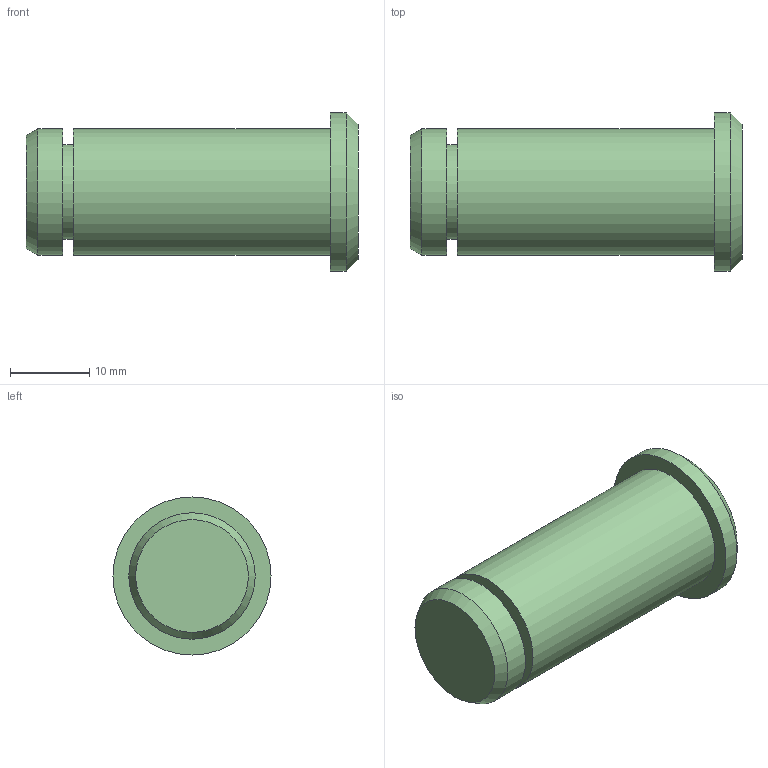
import cadquery as cq
import math

overall_length = 42.0
shank_diameter = 16.0
head_diameter = 20.0
head_thickness = 3.5
head_chamfer = 1.5

groove_diameter = 12.0
groove_width = 1.35
groove_end = 6.0

lead_in_length = 1.5
lead_in_angle = 30.0
lead_in_depth = lead_in_length * math.tan(math.radians(lead_in_angle))

shank_radius = shank_diameter / 2
head_radius = head_diameter / 2
head_start = overall_length - head_thickness


def make_shank():
    """Shank with a conical lead-in on its plain end."""
    half_profile = [
        (0, 0),
        (0, shank_radius - lead_in_depth),
        (lead_in_length, shank_radius),
        (head_start, shank_radius),
        (head_start, 0),
    ]
    return cq.Workplane("XY").polyline(half_profile).close().revolve(360, (0, 0), (1, 0))


def make_head():
    """Head with a chamfered outer rim."""
    disc = cq.Workplane("YZ", origin=(head_start, 0, 0)).circle(head_radius).extrude(head_thickness)
    return disc.faces(">X").chamfer(head_chamfer)


def make_groove():
    """Ring of material removed for the retaining ring."""
    groove_plane = cq.Workplane("YZ", origin=(groove_end - groove_width, 0, 0))
    return groove_plane.circle(shank_radius).circle(groove_diameter / 2).extrude(groove_width)


result = make_shank().union(make_head()).cut(make_groove())